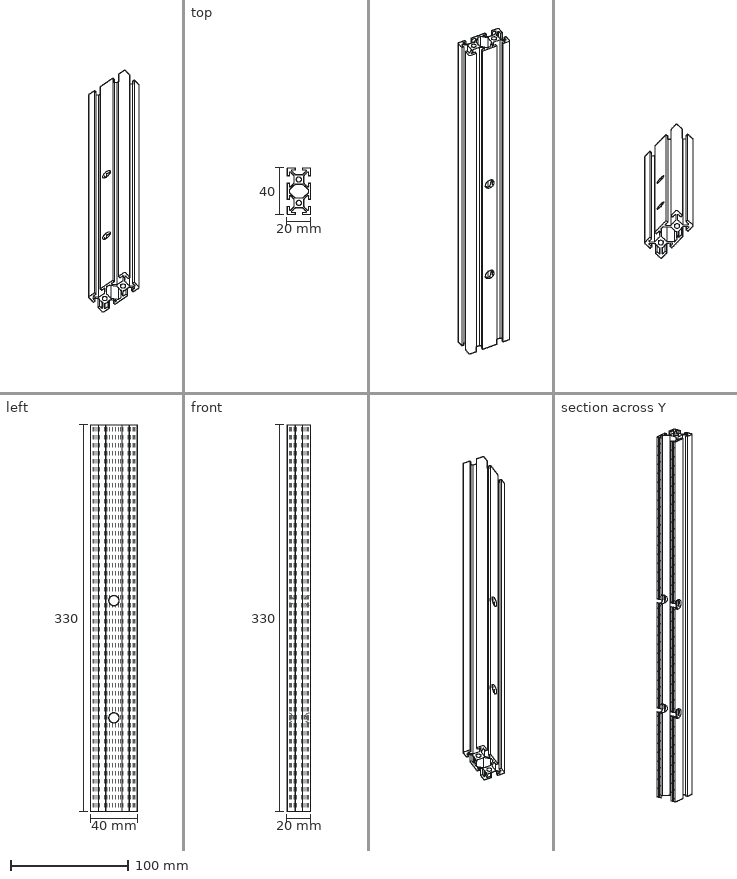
import cadquery as cq

cell = 20.0
length = 330.0
half_cell = cell / 2
cell_centers = [(0, -half_cell), (0, half_cell)]

slot_half_opening = 3.0
mouth_chamfer = 0.1
lip_thickness = 2.0
slot_half_width = 6.2
core_half = 4.25
web_offset = 1.06
cavity_wall_half = 1.4
corner_radius = 1.0
bore_diameter = 4.2

cross_hole_diameter = 8.5
cross_hole_heights = [80.0, 180.0]

lip_inner = half_cell - lip_thickness


def slot_cutter(center_y, direction_degrees):
    """T-slot of one cell, opening toward the given direction."""
    right_half = [
        (half_cell, slot_half_opening + mouth_chamfer),
        (half_cell - mouth_chamfer, slot_half_opening),
        (lip_inner, slot_half_opening),
        (lip_inner, slot_half_width),
        (slot_half_width + web_offset, slot_half_width),
        (core_half, core_half - web_offset),
    ]
    left_half = [(depth, -across) for depth, across in reversed(right_half)]
    cutter = cq.Workplane("XY").polyline(right_half + left_half).close().extrude(length)
    return cutter.rotate((0, 0, 0), (0, 0, 1), direction_degrees).translate((0, center_y, 0))


def cavity_cutter():
    """Closed cavity between the cells, bounded by the cores, the webs and the side walls."""
    core_y = half_cell - core_half
    core_x = core_half - web_offset
    outline = [
        (core_x, core_y),
        (lip_inner, cavity_wall_half),
        (lip_inner, -cavity_wall_half),
        (core_x, -core_y),
        (-core_x, -core_y),
        (-lip_inner, -cavity_wall_half),
        (-lip_inner, cavity_wall_half),
        (-core_x, core_y),
    ]
    return cq.Workplane("XY").polyline(outline).close().extrude(length)


def cross_hole_cutter():
    return (
        cq.Workplane("YZ", origin=(-half_cell, 0, 0))
        .pushPoints([(0, height) for height in cross_hole_heights])
        .circle(cross_hole_diameter / 2)
        .extrude(cell)
    )


profile = cq.Workplane("XY").rect(cell, 2 * cell).extrude(length)
profile = profile.edges("|Z").fillet(corner_radius)

for slot_y, direction in [
    (half_cell, 0),
    (half_cell, 90),
    (half_cell, 180),
    (-half_cell, 0),
    (-half_cell, 180),
    (-half_cell, 270),
]:
    profile = profile.cut(slot_cutter(slot_y, direction))

profile = profile.cut(cavity_cutter())
bores = cq.Workplane("XY").pushPoints(cell_centers).circle(bore_diameter / 2).extrude(length)
result = profile.cut(bores).cut(cross_hole_cutter())